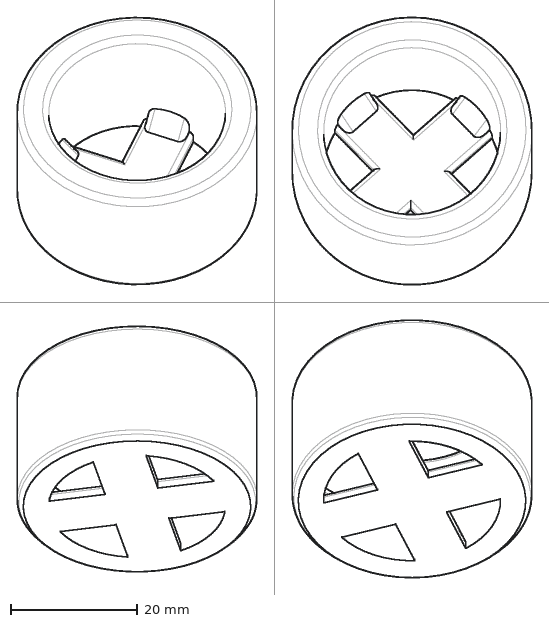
import cadquery as cq
import math

outer_diameter = 38.0
bore_diameter = 28.0
height = 22.0
edge_radius = 1.0
base_chamfer_width = 1.0
base_chamfer_height = 1.15

arm_width = 8.55
floor_thickness = 2.0
arm_edge_radius = 0.72

gusset_width = 7.0
gusset_toe_radius = 11.02
gusset_slope = 45.0
gusset_edge_radius = 1.0

outer_radius = outer_diameter / 2
bore_radius = bore_diameter / 2
wall_mid_radius = (outer_radius + bore_radius) / 2


def make_ring():
    """Revolve the wall section, then round its rims and the top of the base chamfer."""
    section = (
        cq.Workplane("XZ")
        .moveTo(bore_radius, 0)
        .lineTo(outer_radius - base_chamfer_width, 0)
        .lineTo(outer_radius, base_chamfer_height)
        .lineTo(outer_radius, height)
        .lineTo(bore_radius, height)
        .close()
    )
    ring = section.revolve(360, (0, 0, 0), (0, 1, 0))
    ring = ring.faces(">Z").edges().fillet(edge_radius)
    chamfer_top = cq.selectors.NearestToPointSelector((0, 0, base_chamfer_height))
    return ring.edges(chamfer_top).fillet(edge_radius)


def make_cross():
    """Two crossing arms with rounded upper edges, ending inside the ring wall."""
    arm_x = cq.Workplane("XY").box(outer_diameter, arm_width, floor_thickness, centered=(True, True, False))
    arm_y = arm_x.rotate((0, 0, 0), (0, 0, 1), 90)
    cross = arm_x.union(arm_y).faces(">Z").edges().fillet(arm_edge_radius)
    reach = cq.Workplane("XY").circle(wall_mid_radius).extrude(floor_thickness)
    return cross.intersect(reach)


def make_gusset():
    """Wedge on the +X arm, with rounded edges beside its sloping face."""
    wedge_height = (wall_mid_radius - gusset_toe_radius) * math.tan(math.radians(gusset_slope))
    wedge = (
        cq.Workplane("XZ")
        .moveTo(gusset_toe_radius, floor_thickness)
        .lineTo(wall_mid_radius, floor_thickness)
        .lineTo(wall_mid_radius, floor_thickness + wedge_height)
        .close()
        .extrude(gusset_width / 2, both=True)
    )
    sloping_edges = wedge.edges("not(|X or |Y or |Z)")
    return sloping_edges.fillet(gusset_edge_radius)


result = make_ring().union(make_cross())
for quarter in range(4):
    result = result.union(make_gusset().rotate((0, 0, 0), (0, 0, 1), 90 * quarter))